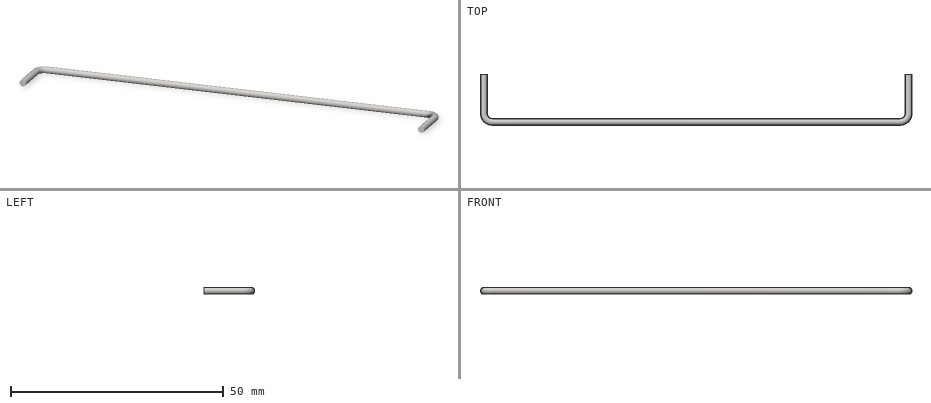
import cadquery as cq

wire_diameter = 1.6
overall_length = 101.61
overall_depth = 12.0
bend_radius = 2.0

wire_radius = wire_diameter / 2
leg_x = (overall_length - wire_diameter) / 2
leg_length = overall_depth - wire_radius


def wire_centreline():
    """Open path in the XY plane, from the left leg tip round to the right leg tip."""
    straight_end_x = leg_x - bend_radius
    return (
        cq.Workplane("XY")
        .moveTo(-leg_x, leg_length)
        .lineTo(-leg_x, bend_radius)
        .radiusArc((-straight_end_x, 0), -bend_radius)
        .lineTo(straight_end_x, 0)
        .radiusArc((leg_x, bend_radius), -bend_radius)
        .lineTo(leg_x, leg_length)
    )


def bent_wire():
    """Round section swept along the centreline, starting at the left leg tip."""
    section = cq.Workplane("XZ", origin=(-leg_x, leg_length, 0)).circle(wire_radius)
    return section.sweep(wire_centreline())


result = bent_wire()